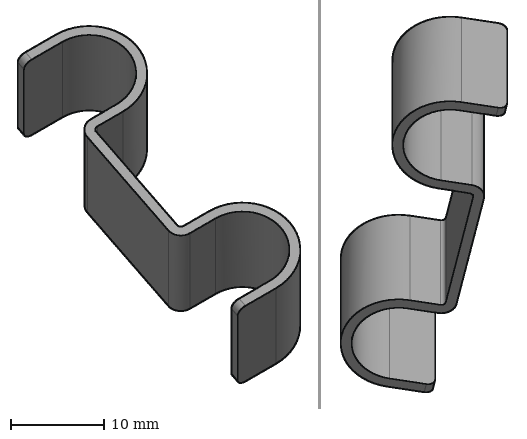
import cadquery as cq

length = 40.8
depth = 11.2
height = 14.0
thickness = 1.2
loop_radius = 6.2
bend_inner_radius = 0.5
tip_radius = 1.0

half_length = length / 2
loop_inner_radius = loop_radius - thickness
loop_x = -half_length + loop_radius
leg_end_y = loop_radius - depth
inner_leg_left = loop_x + loop_inner_radius
inner_leg_right = loop_x + loop_radius
bend_outer_radius = bend_inner_radius + thickness
bend_x = inner_leg_right + bend_inner_radius
bend_y = leg_end_y + bend_outer_radius
web_top_y = leg_end_y + thickness


def left_half():
    """Left loop, bend and half of the web, ending on the plane X = 0."""
    return (
        cq.Workplane("XY")
        .moveTo(-half_length, leg_end_y)
        .lineTo(-half_length, 0)
        .threePointArc((loop_x, loop_radius), (inner_leg_right, 0))
        .lineTo(inner_leg_right, bend_y)
        .radiusArc((bend_x, web_top_y), -bend_inner_radius)
        .lineTo(0, web_top_y)
        .lineTo(0, leg_end_y)
        .lineTo(bend_x, leg_end_y)
        .radiusArc((inner_leg_left, bend_y), bend_outer_radius)
        .lineTo(inner_leg_left, 0)
        .threePointArc((loop_x, loop_inner_radius), (-half_length + thickness, 0))
        .lineTo(-half_length + thickness, leg_end_y)
        .close()
        .extrude(height)
    )


def round_free_end(half):
    """Round the top and bottom corners of the outer leg's free end."""
    return half.edges("|X").edges("<X").fillet(tip_radius)


left = round_free_end(left_half())
result = left.union(left.mirror("YZ")).clean()